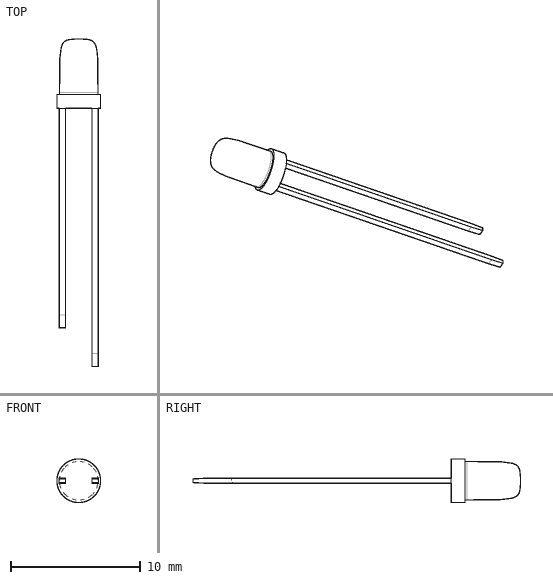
import cadquery as cq

total_length = 25.35
long_lead_length = 19.98
lead_length_step = 3.0
short_lead_length = long_lead_length - lead_length_step
lens_length = total_length - long_lead_length

flange_radius = 3.4 / 2
flange_length = 1.1
collar_radius = 3.0 / 2
collar_length = 0.15
dome_nose_length = 1.27
dome_corner_radius = 1.57
dome_nose_radius = 1.15

lead_pitch = 2.54
lead_width = 0.5
lead_thickness = 0.4
lead_tip_length = 1.01
lead_tip_thickness = 0.3


def make_lens():
    """Flange, short collar, and a dome that curves smoothly to a blunt nose, revolved about Y."""
    collar_end = flange_length + collar_length
    dome_controls = [
        (collar_radius, lens_length - dome_nose_length),
        (dome_corner_radius, lens_length),
        (dome_nose_radius, lens_length),
        (0, lens_length),
    ]
    return (
        cq.Workplane("XY")
        .lineTo(flange_radius, 0)
        .lineTo(flange_radius, flange_length)
        .lineTo(collar_radius, flange_length)
        .lineTo(collar_radius, collar_end)
        .bezier(dome_controls, includeCurrent=True)
        .close()
        .revolve(360, (0, 0, 0), (0, 1, 0))
    )


def make_lead(x_center, length):
    """Flat lead butting against the lens rear face, thinned in Z towards its free end."""
    half_thickness = lead_thickness / 2
    half_tip = lead_tip_thickness / 2
    taper_start = lead_tip_length - length
    return (
        cq.Workplane("YZ", origin=(x_center, 0, 0))
        .polyline([
            (0, half_thickness),
            (taper_start, half_thickness),
            (-length, half_tip),
            (-length, -half_tip),
            (taper_start, -half_thickness),
            (0, -half_thickness),
        ])
        .close()
        .extrude(lead_width / 2, both=True)
    )


lens = make_lens()
leads = []
for side, length in ((-1, short_lead_length), (1, long_lead_length)):
    leads.append(make_lead(side * lead_pitch / 2, length).val())

result = cq.Compound.makeCompound([lens.val(), *leads])